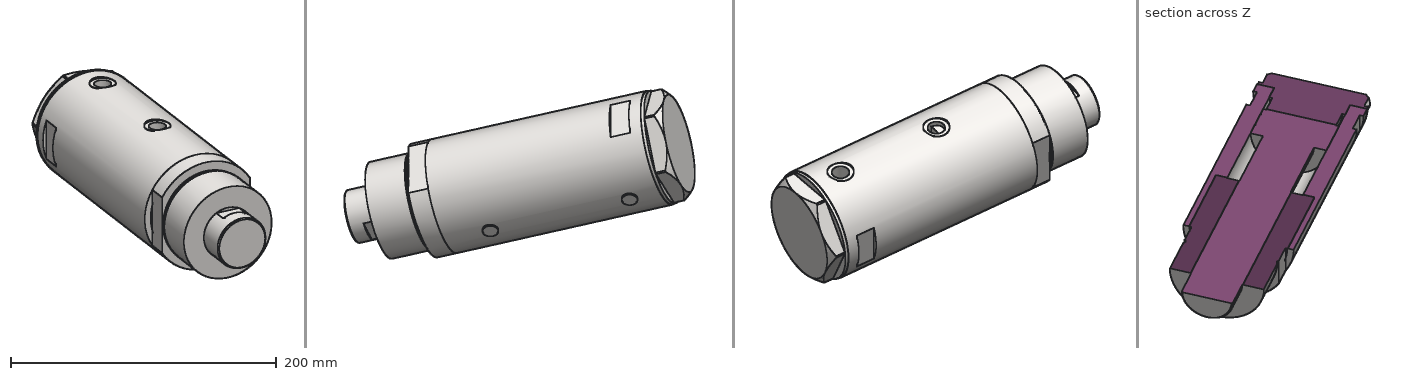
import cadquery as cq
import math


CAP_FLANGE_X = 12.6
TUBE_X = 15.2
TUBE_END_X = 186.4
NECK_X = 202.0
COLLAR_X = 204.5
COLLAR_END_X = 236.6
ROD_END_X = 259.47
PISTON_X = 40.7
GLAND_INNER_X = 124.4

CUT_CLEARANCE = 1.0

TUBE_RADIUS = 44.0
BORE_RADIUS = 30.0
GLAND_SEAT_RADIUS = 39.0
WRENCH_POCKET_X = 24.5
WRENCH_POCKET_LENGTH = 15.6
WRENCH_POCKET_HALF_WIDTH = 41.0
PORT_XS = (37.5, 124.4)
PORT_DIAMETER = 13.2
SPOTFACE_DIAMETER = 20.0
SPOTFACE_Z = 42.6
BOSS_XS = (39.1, 149.8)
BOSS_DIAMETER = 12.0
BOSS_BOTTOM_Z = -45.1

CAP_FLANGE_RADIUS = 43.5
HEX_SIDES = 6
HEX_ACROSS_FLATS = 75.0
HEX_TILT = 7.5
HEX_CORNER_RADIUS = 42.9
HEX_FACE_RADIUS = 37.5
HEX_CHAMFER_LENGTH = 4.8
CAP_PLUG_LENGTH = 12.0
CAP_NOSE_RADIUS = 28.0

NECK_RADIUS = 36.9
NECK_GROOVE_X = 202.7
NECK_GROOVE_WIDTH = 1.2
NECK_GROOVE_RADIUS = 36.5
COLLAR_RADIUS = 37.5
COLLAR_CHAMFER = 0.7
GLAND_HALF_FLATS = 37.5

ROD_RADIUS = 20.5
PISTON_LENGTH = 30.0
ROD_HALF_FLATS = 18.0
ROD_FLATS_LENGTH = 10.8
ROD_CHAMFER = 1.0


def bar(radius, start_x, end_x):
    """Round bar on the X axis from start_x to end_x."""
    return cq.Workplane("YZ").workplane(offset=start_x).circle(radius).extrude(end_x - start_x)


def side_slabs(plane, start_x, end_x, half_flats, radius):
    """Pair of blocks that lie outside two parallel flats, facing along the normal of the plane."""
    mid_x = (start_x + end_x) / 2
    depth = radius - half_flats + CUT_CLEARANCE
    slabs = cq.Workplane(plane)
    for side in (1, -1):
        slab = (
            cq.Workplane(plane)
            .workplane(offset=side * half_flats)
            .center(mid_x, 0)
            .rect(end_x - start_x, 2 * radius)
            .extrude(side * depth)
        )
        slabs = slabs.add(slab)
    return slabs.combine()


def make_tube():
    """Cylinder barrel with wrench pockets, two ports on top and two bosses underneath."""
    tube = bar(TUBE_RADIUS, TUBE_X, TUBE_END_X)
    pocket_end_x = WRENCH_POCKET_X + WRENCH_POCKET_LENGTH
    tube = tube.cut(
        side_slabs("XZ", WRENCH_POCKET_X, pocket_end_x, WRENCH_POCKET_HALF_WIDTH, TUBE_RADIUS)
    )
    for x in BOSS_XS:
        boss = (
            cq.Workplane("XY")
            .workplane(offset=BOSS_BOTTOM_Z)
            .center(x, 0)
            .circle(BOSS_DIAMETER / 2)
            .extrude(-BOSS_BOTTOM_Z)
        )
        tube = tube.union(boss)
    for x in PORT_XS:
        port = cq.Workplane("XY").center(x, 0).circle(PORT_DIAMETER / 2).extrude(TUBE_RADIUS)
        spotface = (
            cq.Workplane("XY")
            .workplane(offset=SPOTFACE_Z)
            .center(x, 0)
            .circle(SPOTFACE_DIAMETER / 2)
            .extrude(TUBE_RADIUS - SPOTFACE_Z)
        )
        tube = tube.cut(port).cut(spotface)
    bore = bar(BORE_RADIUS, TUBE_X, GLAND_INNER_X)
    gland_seat = bar(GLAND_SEAT_RADIUS, GLAND_INNER_X, TUBE_END_X)
    return tube.cut(bore).cut(gland_seat)


def make_cap():
    """Hexagonal end cap with a flange and a plug that fills the end of the bore."""
    hexagon = (
        cq.Workplane("YZ")
        .polygon(HEX_SIDES, HEX_ACROSS_FLATS / math.cos(math.pi / HEX_SIDES))
        .extrude(CAP_FLANGE_X)
        .rotate((0, 0, 0), (1, 0, 0), -HEX_TILT)
    )
    blank = (
        cq.Workplane("XY")
        .moveTo(0, 0)
        .lineTo(0, HEX_FACE_RADIUS)
        .lineTo(HEX_CHAMFER_LENGTH, HEX_CORNER_RADIUS)
        .lineTo(CAP_FLANGE_X, HEX_CORNER_RADIUS)
        .lineTo(CAP_FLANGE_X, 0)
        .close()
        .revolve(360, (0, 0, 0), (1, 0, 0))
    )
    plug_end_x = TUBE_X + CAP_PLUG_LENGTH
    return (
        hexagon.intersect(blank)
        .union(bar(CAP_FLANGE_RADIUS, CAP_FLANGE_X, TUBE_X))
        .union(bar(BORE_RADIUS, TUBE_X, plug_end_x))
        .union(bar(CAP_NOSE_RADIUS, plug_end_x, PISTON_X))
    )


def make_gland():
    """Rod gland: sleeve seated in the tube, flatted head, grooved neck and end collar."""
    head = bar(TUBE_RADIUS, TUBE_END_X, NECK_X).cut(
        side_slabs("XZ", TUBE_END_X, NECK_X, GLAND_HALF_FLATS, TUBE_RADIUS)
    )
    collar = bar(COLLAR_RADIUS, COLLAR_X, COLLAR_END_X).faces("<X").chamfer(COLLAR_CHAMFER)
    groove_end_x = NECK_GROOVE_X + NECK_GROOVE_WIDTH
    neck_groove = bar(NECK_RADIUS, NECK_GROOVE_X, groove_end_x).cut(
        bar(NECK_GROOVE_RADIUS, NECK_GROOVE_X, groove_end_x)
    )
    return (
        bar(GLAND_SEAT_RADIUS, GLAND_INNER_X, TUBE_END_X)
        .union(head)
        .union(bar(NECK_RADIUS, NECK_X, COLLAR_X))
        .cut(neck_groove)
        .union(collar)
        .cut(bar(ROD_RADIUS, GLAND_INNER_X, COLLAR_END_X))
    )


def make_piston_rod():
    """Piston and rod in one piece, with wrench flats outside the gland."""
    piston_end_x = PISTON_X + PISTON_LENGTH
    rod = bar(ROD_RADIUS, piston_end_x, ROD_END_X).faces(">X").chamfer(ROD_CHAMFER)
    flats_end_x = COLLAR_END_X + ROD_FLATS_LENGTH
    rod = rod.cut(side_slabs("XY", COLLAR_END_X, flats_end_x, ROD_HALF_FLATS, ROD_RADIUS))
    return bar(BORE_RADIUS, PISTON_X, piston_end_x).union(rod)


tube = make_tube()
cap = make_cap()
gland = make_gland()
piston_rod = make_piston_rod()

result = cq.Compound.makeCompound([tube.val(), cap.val(), gland.val(), piston_rod.val()])